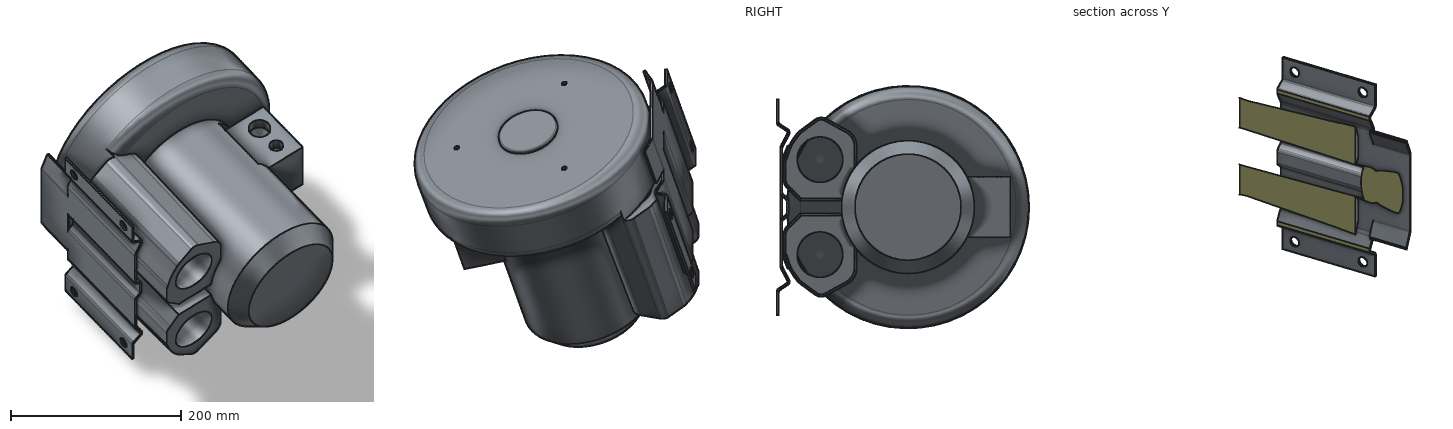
import cadquery as cq
import math


drum_radius = 142.7
drum_length = 73.3
drum_edge_radius = 15.0
drum_draft_angle = 0.8

cap_radius = 35.5
cap_height = 4.5
cap_edge_radius = 1.5
screw_count = 3
screw_circle_radius = 87.2
screw_hole_diameter = 6.0
screw_hole_depth = 6.0

motor_radius = 78.0
motor_end_x = 287.5
motor_cone_length = 20.0
motor_end_radius = 62.3

box_start_x, box_end_x = 79.8, 155.5
box_inner_y, box_outer_y = 53.7, 120.2
box_half_height = 35.5
cable_entry_y = 96.7
cable_entries = [(102.7, 25.5), (134.7, 16.0)]
cable_entry_depth = 14.8
drill_point_angle = 118.0

channel_end_x = 235.0
channel_inner_y, channel_outer_y = -60.2, -146.3
channel_bottom_z, channel_top_z = 7.5, 105.3
channel_corner_radius = 11.5
channel_draft_angle = 1.0
port_radius = 26.7
port_y, port_z = -103.3, 55.8

plate_thickness = 2.7
plate_start_x, plate_end_x = 53.7, 182.5
plate_mid_y = -149.0
groove_mid_y = -141.2
step_peak_y = -139.2
wing_tip_y = -140.0
flange_mid_y = -152.8
flange_edge_z, flange_bend_z = 127.0, 97.5
step_peak_z, step_foot_z = 88.7, 70.0
groove_edge_z, groove_floor_z = 15.5, 9.0
wing_tip_z, wing_bend_z = 71.8, 51.0
tongue_start_x = 2.7
tight_bend, wide_bend = 3.5, 12.0
foot_hole_diameter = 12.5
foot_hole_z = 112.5
foot_holes_x = [70.5, 165.5]


def with_mirror(solid):
    """The solid together with its reflection across the plane Z = 0."""
    return solid.union(solid.mirror("XY"))


def drilled_hole(diameter, depth):
    """Blind hole with a drill point, running from the origin toward +Z."""
    radius = diameter / 2
    point_length = radius / math.tan(math.radians(drill_point_angle / 2))
    half_section = [(0, 0), (radius, 0), (radius, depth), (0, depth + point_length)]
    return cq.Workplane("XZ").polyline(half_section).close().revolve(360, (0, 0), (0, 1))


def drafted_drum():
    """Sharp-edged drum that narrows slightly toward the motor."""
    back_radius = drum_radius - drum_length * math.tan(math.radians(drum_draft_angle))
    half_section = [(0, 0), (0, drum_radius), (drum_length, back_radius), (drum_length, 0)]
    return cq.Workplane("XY").polyline(half_section).close().revolve(360, (0, 0), (1, 0))


def front_cap():
    cap = cq.Workplane("YZ").circle(cap_radius).extrude(-cap_height)
    return cap.faces("<X").edges().fillet(cap_edge_radius)


def screw_holes():
    hole = drilled_hole(screw_hole_diameter, screw_hole_depth)
    hole = hole.rotate((0, 0, 0), (0, 1, 0), 90).translate((0, screw_circle_radius, 0))
    holes = hole
    for index in range(1, screw_count):
        holes = holes.union(hole.rotate((0, 0, 0), (1, 0, 0), index * 360 / screw_count))
    return holes


def motor():
    half_section = [
        (drum_length, 0),
        (drum_length, motor_radius),
        (motor_end_x - motor_cone_length, motor_radius),
        (motor_end_x, motor_end_radius),
        (motor_end_x, 0),
    ]
    return cq.Workplane("XY").polyline(half_section).close().revolve(360, (0, 0), (1, 0))


def terminal_box():
    box = cq.Workplane("XY").box(
        box_end_x - box_start_x,
        box_outer_y - box_inner_y,
        2 * box_half_height,
        centered=False,
    )
    box = box.translate((box_start_x, box_inner_y, -box_half_height))
    for entry_x, diameter in cable_entries:
        hole = drilled_hole(diameter, cable_entry_depth).mirror("XY")
        box = box.cut(hole.translate((entry_x, cable_entry_y, box_half_height)))
    return box


def box_recess():
    """Space above the terminal box that is cleared out of the motor."""
    recess = cq.Workplane("XY").box(
        box_end_x - box_start_x,
        motor_radius - box_inner_y,
        motor_radius - box_half_height,
        centered=False,
    )
    return recess.translate((box_start_x, box_inner_y, box_half_height))


def channel_outline(start_x):
    """Cross-section of the upper channel in the Y-Z plane, as (y, z) points."""
    shoulder_start, shoulder_middle = (channel_inner_y, 72.7), (-63.5, 83.0)
    inner_slope_start, inner_slope_end = (-71.8, 90.5), (-95.0, 103.3)
    peak = (-101.8, channel_top_z)
    outer_slope_start, outer_slope_end = (-108.5, 103.3), (-126.5, 90.2)
    bend_middle, flank_start = (-128.8, 88.0), (-130.5, 86.0)
    flank_middle, flank_end = (-139.0, 74.0), (-144.5, 58.5)
    upper_edge_middle, upper_edge_end = (-145.7, 56.5), (channel_outer_y, 54.0)
    lower_edge_start, lower_edge_middle = (channel_outer_y, 32.0), (-144.5, 25.8)
    underside_start, underside_end = (-140.0, 20.8), (-126.7, channel_bottom_z)
    bottom_end = (channel_inner_y - channel_corner_radius, channel_bottom_z)
    inner_wall_start = (channel_inner_y, channel_bottom_z + channel_corner_radius)
    return (
        cq.Workplane("YZ", origin=(start_x, 0, 0))
        .moveTo(*inner_slope_start)
        .lineTo(*inner_slope_end)
        .threePointArc(peak, outer_slope_start)
        .lineTo(*outer_slope_end)
        .threePointArc(bend_middle, flank_start)
        .threePointArc(flank_middle, flank_end)
        .threePointArc(upper_edge_middle, upper_edge_end)
        .lineTo(*lower_edge_start)
        .threePointArc(lower_edge_middle, underside_start)
        .lineTo(*underside_end)
        .lineTo(*bottom_end)
        .radiusArc(inner_wall_start, -channel_corner_radius)
        .lineTo(*shoulder_start)
        .threePointArc(shoulder_middle, inner_slope_start)
        .close()
    )


def channel():
    """Upper silencer channel, drafted toward its open end."""
    length = channel_end_x - drum_length
    body = channel_outline(drum_length).extrude(length, taper=channel_draft_angle)
    port = (
        cq.Workplane("YZ", origin=(drum_length, port_y, port_z))
        .circle(port_radius)
        .extrude(length)
    )
    return body.cut(port)


def channel_root(drum_blank):
    """Upper channel carried into the drum, filling the rounded back edge."""
    start_x = drum_length - drum_edge_radius
    return channel_outline(start_x).extrude(drum_edge_radius).intersect(drum_blank)


def folded_sheet(bends, start_x, end_x):
    """Sheet along X whose middle line runs through (y, z, bend radius) points."""
    points = [cq.Vector(start_x, y, z) for y, z, _ in bends]
    path = cq.Wire.makePolygon(points)
    for point, (_, _, radius) in zip(points, bends):
        if radius:
            corner = min(path.Vertices(), key=lambda v: (v.Center() - point).Length)
            path = path.fillet(radius, [corner])
    section_plane = cq.Plane(origin=points[0], xDir=(1, 0, 0), normal=points[1] - points[0])
    length = end_x - start_x
    section = cq.Workplane(section_plane).center(length / 2, 0).rect(length, plate_thickness)
    return section.sweep(cq.Workplane(path))


def symmetric_bends(upper_half):
    """Bends of the upper half, from top to bottom, followed by their reflection."""
    return upper_half + [(y, -z, radius) for y, z, radius in reversed(upper_half)]


def foot_plate():
    """Plate with a drilled, stepped flange at each end and a recessed groove in the middle."""
    upper_half = [
        (flange_mid_y, flange_edge_z, 0),
        (flange_mid_y, flange_bend_z, tight_bend),
        (step_peak_y, step_peak_z, tight_bend),
        (plate_mid_y, step_foot_z, wide_bend),
        (plate_mid_y, groove_edge_z, tight_bend),
        (groove_mid_y, groove_floor_z, tight_bend),
    ]
    sheet = folded_sheet(symmetric_bends(upper_half), plate_start_x, plate_end_x)
    hole_places = [(x, z) for x in foot_holes_x for z in (-foot_hole_z, foot_hole_z)]
    holes = (
        cq.Workplane("XZ", origin=(0, flange_mid_y + plate_thickness, 0))
        .pushPoints(hole_places)
        .circle(foot_hole_diameter / 2)
        .extrude(2 * plate_thickness)
    )
    return sheet.cut(holes)


def tongue():
    """Front strip with bent wings that extends the plate under the drum."""
    upper_half = [
        (wing_tip_y, wing_tip_z, 0),
        (plate_mid_y, wing_bend_z, tight_bend),
    ]
    return folded_sheet(symmetric_bends(upper_half), tongue_start_x, plate_start_x)


blank = drafted_drum()
drum = blank.edges().fillet(drum_edge_radius)
drum = drum.cut(screw_holes())

result = (
    drum.union(front_cap())
    .union(motor().cut(box_recess()))
    .union(terminal_box())
    .union(with_mirror(channel_root(blank)))
    .union(with_mirror(channel()))
    .union(foot_plate())
    .union(tongue())
)